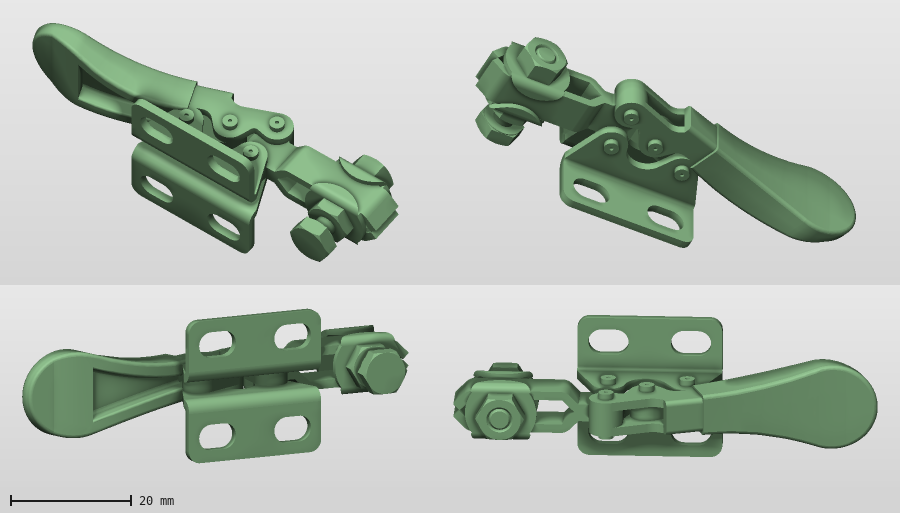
import cadquery as cq
import math


clamp_tilt = 14.0
handle_tilt = 20.5

sheet = 1.46
pin_hole = 0.7
pin_hole_depth = 0.4
rivet_head_radius = 1.26
rivet_top = 3.95
lobe_radius = 2.8

handle_pivot = (18.5, 15.5)
link_pivot = (12.0, 11.3)
link_anchor = (5.45, 8.0)
arm_pivot = (18.5, 8.1)

base_length = 24.0
base_width = 24.0
bend_outer_radius = 2.05
bend_inner_radius = bend_outer_radius - sheet
flange_corner_radius = 2.05
slot_length = 6.65
slot_width = 4.35
slot_spacing = 13.7
slot_height = 7.8
notch_center = (12.25, 8.9)
notch_radius = 3.5

arm_bottom = 8.4
arm_top = 14.8
arm_middle = (arm_bottom + arm_top) / 2
arm_corner_radius = 0.4
arm_tip = 43.8
arm_tip_height = 1.1
jog_start = 23.7
jog_rise = 2.1

bolt_position = 35.9
bolt_radius = 1.85
hex_flats = 7.0
hex_chamfer = 0.35
washer_sheet = 0.95
washer_radius = 5.9
washer_half_width = 4.9
washer_bend_radius = 1.35
washer_tab_depth = 2.65
washer_tab_start = 3.6
arm_nut_thickness = 3.3
lock_nut_thickness = 2.2
bolt_head_thickness = 2.45
head_collar_thickness = 0.2
countersink_depth = 0.35
bolt_head_bottom = 0.3

channel_top = 5.25
channel_end = -8.85
channel_fillet = 0.8
back_notch_center = (-6.5, 5.2)
back_notch_radius = 2.65
front_notch_center = (-12.8, -1.85)
front_notch_radius = 2.05
crook_center = (-3.3, -2.2)
crook_radius = 0.8
cheek_bottom = 0.2
cheek_corner = -14.55
grip_end = -15.2
grip_overlap = 1.35
grip_half_width = 3.5
grip_back_end = (grip_end, 5.5)
grip_back_middle = (-27.2, 6.25)
grip_back_crease = (-38.9, 8.6)
grip_back_tip = (-44.9, 10.4)
grip_under_end = (grip_end, -0.8)
grip_under_middle = (-26.5, -0.4)
grip_under_crease = (-40.25, 6.0)
grip_under_tip = (-44.9, 8.1)
grip_tip_radius = 7.3
grip_tip_center = -36.85
grip_neck_length = grip_end - grip_tip_center
grip_neck_radius = (grip_neck_length**2 + grip_half_width**2 - grip_tip_radius**2) / (
    2 * (grip_tip_radius - grip_half_width)
)
grip_edge_fillet = 0.6
grip_reach = 2 * grip_tip_radius
recess_start = -34.75
recess_half_width = 4.4
recess_end_half_width = 0.95
recess_depth = 2.85
recess_side = (-27.35, 2.4)
recess_rim_fillet = 0.4
recess_floor_fillet = 0.55


def belt(*pulleys):
    """Closed outline running around (center, radius, turn) circles on their common tangents.

    A turn of 1 passes a circle counter-clockwise, -1 clockwise, and a radius of 0 is a corner.
    """
    tolerance = 0.001
    angles = []
    for (c1, r1, turn1), (c2, r2, turn2) in zip(pulleys, pulleys[1:] + pulleys[:1]):
        dx, dy = c2[0] - c1[0], c2[1] - c1[1]
        offset = turn1 * r1 - turn2 * r2
        lean = max(-1, min(1, offset / math.hypot(dx, dy)))
        angles.append(math.atan2(dy, dx) - math.acos(lean))

    def on_circle(center, reach, angle):
        return (center[0] + reach * math.cos(angle), center[1] + reach * math.sin(angle))

    center, radius, turn = pulleys[0]
    previous = on_circle(center, turn * radius, angles[0])
    outline = cq.Workplane("XY").moveTo(*previous)
    for i in list(range(1, len(pulleys))) + [0]:
        center, radius, turn = pulleys[i]
        arrive, leave = angles[i - 1], angles[i]
        touch = on_circle(center, turn * radius, arrive)
        if math.dist(touch, previous) > tolerance:
            outline = outline.lineTo(*touch)
        previous = on_circle(center, turn * radius, leave)
        if radius > 0:
            sweep = turn * ((turn * (leave - arrive)) % (2 * math.pi))
            outline = outline.threePointArc(
                on_circle(center, turn * radius, arrive + sweep / 2),
                previous,
            )
    return outline.close()


def corner(x, y):
    return ((x, y), 0, 1)


def both_sides(upper_half):
    return upper_half.union(upper_half.mirror("XY"))


def box(x0, x1, y0, y1, z0, z1):
    return cq.Workplane("XY").box(x1 - x0, y1 - y0, z1 - z0, centered=False).translate((x0, y0, z0))


def rivet(center):
    body = cq.Workplane("XY").center(*center).circle(rivet_head_radius).extrude(rivet_top)
    hole = (
        cq.Workplane("XY", origin=(*center, rivet_top - pin_hole_depth))
        .circle(pin_hole / 2)
        .extrude(pin_hole_depth)
    )
    return both_sides(body.cut(hole))


def base_half():
    """One of the two angle brackets: an upright web with a slotted mounting flange."""
    section = (
        box(0, base_length, 0, base_width, sheet, base_width / 2)
        .edges("|X and <Y and <Z")
        .fillet(bend_outer_radius)
    )
    inside = (
        box(0, base_length, sheet, 2 * base_width, 2 * sheet, base_width)
        .edges("|X and <Y and <Z")
        .fillet(bend_inner_radius)
    )
    web_outline = belt(
        corner(0, 0),
        corner(base_length, 0),
        corner(base_length, bend_outer_radius),
        (arm_pivot, lobe_radius, 1),
        (notch_center, notch_radius, -1),
        (link_anchor, lobe_radius, 1),
        corner(0, bend_outer_radius),
    ).extrude(base_width / 2)
    bracket = section.cut(inside).intersect(web_outline)
    bracket = bracket.edges("|Y and >Z").fillet(flange_corner_radius)
    slots = (
        cq.Workplane("XZ", origin=(base_length / 2, 0, slot_height))
        .pushPoints([(-slot_spacing / 2, 0), (slot_spacing / 2, 0)])
        .slot2D(slot_length, slot_width)
        .extrude(-sheet)
    )
    return bracket.cut(slots)


def link():
    outline = belt((link_pivot, lobe_radius, 1), (link_anchor, lobe_radius, 1))
    return both_sides(outline.extrude(sheet))


def arm_half():
    """Half arm: flat at the pivots, stepped out beside the bolt, folded in 45 degrees at its tip."""
    slant = sheet * math.tan(math.radians(22.5))
    outer = sheet + jog_rise
    fold = arm_tip - (outer - arm_tip_height)
    tip_back = sheet / math.sqrt(2)
    start = handle_pivot[0] - 2 * lobe_radius
    side = (
        cq.Workplane("XZ")
        .moveTo(start, 0)
        .lineTo(jog_start, 0)
        .lineTo(jog_start + jog_rise, jog_rise)
        .lineTo(fold - slant, jog_rise)
        .lineTo(arm_tip - tip_back, arm_tip_height - tip_back)
        .lineTo(arm_tip, arm_tip_height)
        .lineTo(fold, outer)
        .lineTo(jog_start + jog_rise - slant, outer)
        .lineTo(jog_start - slant, sheet)
        .lineTo(start, sheet)
        .close()
        .extrude(-2 * handle_pivot[1])
    )
    at_jog = cq.selectors.NearestToPointSelector((jog_start + jog_rise - slant, handle_pivot[1], outer))
    side = side.edges(at_jog).fillet(bend_outer_radius)
    at_fold = cq.selectors.NearestToPointSelector((fold, handle_pivot[1], outer))
    side = side.edges(at_fold).fillet(bend_outer_radius)
    inner_corner = handle_pivot[0] + lobe_radius + arm_corner_radius
    outline = belt(
        (arm_pivot, lobe_radius, 1),
        ((inner_corner, arm_bottom - arm_corner_radius), arm_corner_radius, -1),
        corner(arm_tip, arm_bottom),
        corner(arm_tip, arm_top),
        ((inner_corner, arm_top + arm_corner_radius), arm_corner_radius, -1),
        (handle_pivot, lobe_radius, 1),
    )
    return side.intersect(outline.extrude(outer))


def washer():
    """Flanged washer on the upper arm edge: a disc with two sides folded down over the arm."""
    low = arm_top + washer_sheet - washer_tab_depth
    high = arm_top + washer_sheet
    left, right = bolt_position - washer_radius, bolt_position + washer_radius
    inner_half_width = washer_half_width - washer_sheet
    channel = (
        box(left, right, low, high, -washer_half_width, washer_half_width)
        .edges("|X and >Y")
        .fillet(washer_bend_radius)
    )
    hollow = (
        box(left, right, low, arm_top, -inner_half_width, inner_half_width)
        .edges("|X and >Y")
        .fillet(washer_bend_radius - washer_sheet)
    )
    disc = (
        cq.Workplane("XZ", origin=(bolt_position, low, 0))
        .circle(washer_radius)
        .extrude(-washer_tab_depth)
        .intersect(box(left, right, low, high, -washer_tab_start, washer_tab_start))
    )
    tabs = both_sides(
        cq.Workplane("XY", origin=(bolt_position, low + washer_radius, washer_tab_start))
        .circle(washer_radius)
        .extrude(washer_half_width - washer_tab_start)
    )
    return channel.cut(hollow).intersect(disc.union(tabs))


def hexagon(bottom, thickness, chamfered_side):
    """Hexagonal nut or head along Y, with its corners turned down on one side."""
    corners = hex_flats / math.cos(math.radians(30))
    axis = cq.Workplane("XZ", origin=(bolt_position, bottom, 0))
    cone = (
        axis.circle(corners / 2)
        .extrude(-thickness)
        .faces(chamfered_side)
        .chamfer(hex_chamfer, (corners - hex_flats) / 2)
    )
    return axis.polygon(6, corners).extrude(-thickness).intersect(cone)


def spindle():
    """Bolt through the arm with its head, lock nut and arm nut, plus the two flanged washers."""
    upper_washer = washer()
    lower_washer = upper_washer.mirror("XZ", (0, arm_middle, 0))
    upper_seat = arm_top + washer_sheet
    lower_seat = arm_bottom - washer_sheet
    bolt_end = upper_seat + arm_nut_thickness
    bolt_axis = cq.Workplane("XZ", origin=(bolt_position, bolt_head_bottom, 0))
    shank = bolt_axis.circle(bolt_radius).extrude(bolt_head_bottom - bolt_end)
    shank = shank.faces(">Y").chamfer(countersink_depth)
    collar_height = bolt_head_thickness + head_collar_thickness
    collar = bolt_axis.circle(hex_flats / 2).extrude(-collar_height)
    countersink = (
        cq.Workplane("XZ", origin=(bolt_position, bolt_end, 0))
        .circle(bolt_radius + countersink_depth)
        .extrude(countersink_depth)
        .faces("<Y")
        .chamfer(0.99 * countersink_depth)
    )
    arm_nut = hexagon(upper_seat, arm_nut_thickness, ">Y").cut(countersink)
    return (
        shank.union(collar)
        .union(upper_washer)
        .union(lower_washer)
        .union(hexagon(bolt_head_bottom, bolt_head_thickness, "<Y"))
        .union(hexagon(lower_seat - lock_nut_thickness, lock_nut_thickness, "<Y"))
        .union(arm_nut)
    )


def handle_cheek():
    """Side sheet of the handle, reaching from inside the grip to both of its rivets."""
    tilt = math.radians(handle_tilt)
    dx, dy = link_pivot[0] - handle_pivot[0], link_pivot[1] - handle_pivot[1]
    link_rivet = (
        dx * math.cos(tilt) + dy * math.sin(tilt),
        dy * math.cos(tilt) - dx * math.sin(tilt),
    )
    outline = belt(
        ((0, 0), lobe_radius, 1),
        (back_notch_center, back_notch_radius, -1),
        corner(channel_end, channel_top - sheet),
        corner(channel_end, channel_top),
        corner(grip_end - grip_overlap, channel_top),
        corner(grip_end - grip_overlap, cheek_bottom),
        corner(cheek_corner, cheek_bottom),
        (front_notch_center, front_notch_radius, -1),
        (link_rivet, lobe_radius, 1),
        (crook_center, crook_radius, -1),
    )
    return outline.extrude(sheet).translate((0, 0, sheet))


def handle_sheet():
    """Bent handle sheet: the two cheeks and the back that joins them."""
    half_width = 2 * sheet
    back = box(
        grip_end - grip_overlap, channel_end, channel_top - sheet, channel_top, -half_width, half_width
    )
    return back.union(both_sides(handle_cheek())).edges("|X and >Y").fillet(channel_fillet)


def below_grip(lift):
    """Space under the curved underside of the grip, with that surface raised by the lift."""
    return (
        cq.Workplane("XY", origin=(0, lift, -grip_reach))
        .moveTo(grip_end, -grip_reach)
        .lineTo(grip_under_tip[0], -grip_reach)
        .lineTo(*grip_under_tip)
        .lineTo(*grip_under_crease)
        .threePointArc(grip_under_middle, grip_under_end)
        .close()
        .extrude(2 * grip_reach)
    )


def grip_slab():
    """Side profile of the grip, between its gently curved back and its underside."""
    below_back = (
        cq.Workplane("XY", origin=(0, 0, -grip_reach))
        .moveTo(*grip_back_end)
        .threePointArc(grip_back_middle, grip_back_crease)
        .lineTo(*grip_back_tip)
        .lineTo(grip_back_tip[0], -grip_reach)
        .lineTo(grip_end, -grip_reach)
        .close()
        .extrude(2 * grip_reach)
    )
    return below_back.cut(below_grip(0))


def grip():
    """Moulded grip: a curved slab with a round tip, a waisted neck and a recess underneath."""
    neck_center = grip_half_width + grip_neck_radius
    outline = belt(
        ((grip_tip_center, 0), grip_tip_radius, 1),
        ((grip_end, -neck_center), grip_neck_radius, -1),
        corner(0, -grip_half_width),
        corner(0, grip_half_width),
        ((grip_end, neck_center), grip_neck_radius, -1),
    ).extrude(2 * grip_reach).rotate((0, 0, 0), (1, 0, 0), -90).translate((0, -grip_reach, 0))
    body = grip_slab().intersect(outline)
    opening = (
        cq.Workplane("XZ", origin=(0, grip_reach, 0))
        .moveTo(recess_start, -recess_half_width)
        .lineTo(recess_start, recess_half_width)
        .threePointArc(recess_side, (grip_end, recess_end_half_width))
        .lineTo(grip_end, -recess_end_half_width)
        .threePointArc((recess_side[0], -recess_side[1]), (recess_start, -recess_half_width))
        .close()
        .extrude(2 * grip_reach)
    )
    body = body.edges("(not |Y) and (not |Z)").fillet(grip_edge_fillet)
    recess = opening.intersect(below_grip(recess_depth))
    recess = recess.faces(">Y").edges("not |Z").fillet(recess_floor_fillet)
    rim_zone = cq.selectors.BoxSelector(
        (recess_start, -grip_reach, -grip_half_width),
        (grip_end - recess_rim_fillet, recess_depth / 2, grip_half_width),
    )
    return body.cut(recess).edges(rim_zone).fillet(recess_rim_fillet)


handle = handle_sheet().union(grip())
handle = handle.rotate((0, 0, 0), (0, 0, 1), handle_tilt).translate((*handle_pivot, 0))

clamp = handle.union(both_sides(base_half())).union(link()).union(both_sides(arm_half()))
clamp = clamp.union(spindle())
for center in (handle_pivot, link_pivot, link_anchor, arm_pivot):
    clamp = clamp.union(rivet(center))

result = clamp.rotate((0, 0, 0), (0, 0, 1), clamp_tilt)